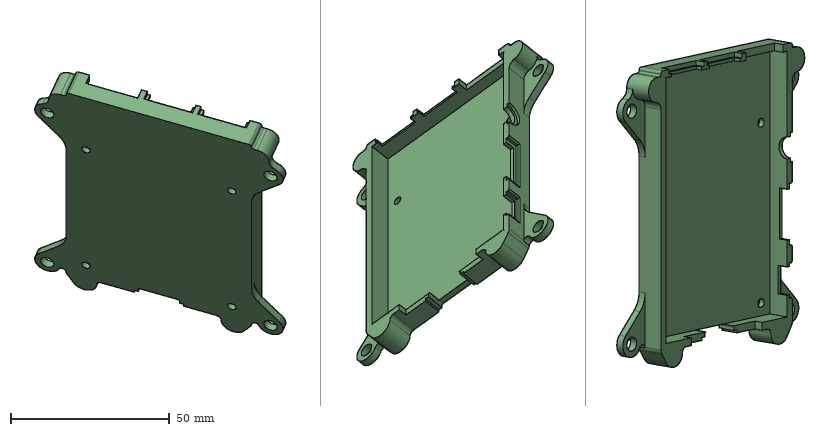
import cadquery as cq
import math


tray_height = 9.3
half_width = 31.2
top_z = 50.35
base_z = -40.15
total_length = 96.25
wall = 2.5
floor_thickness = 2.0
top_corner_radius = 0.95

shoulder_radius = 4.0
shoulder_left = 37.05
shoulder_top = 48.6
shoulder_x = shoulder_left - shoulder_radius
shoulder_z = shoulder_top - shoulder_radius
shoulder_top_fillet = 0.7
shoulder_side_fillet = 2.6

lobe_radius = 4.2
lobe_x = 25.1
lobe_z = top_z - total_length + lobe_radius
lobe_fillet = 1.6
slant_fillet = 2.4

lug_offset = 37.5
lug_radius = 4.245
lug_thickness = 2.6
lug_hole_diameter = 4.5
lug_side_fillet = 8.0
lug_shoulder_fillet = 3.3
lug_corner_radius = 1.25
lug_overlap = 2.0
lug_strip_length = 5.0

board_hole_diameter = 2.8
board_hole_x = 24.5
board_hole_pitch_z = 58.0
board_hole_top_z = 24.5

recess_half_width = 8.3
recess_step_depth = 0.95
recess_inner_half_width = 6.9
recess_corner_radius = 0.5

base_opening_half_width = 16.8
base_opening_bottom = 6.27

network_left = -26.6
network_right = -9.2
network_bottom = 5.75
usb_centers = (0.94, 19.05)
usb_width = 16.4
usb_bottom = 6.1
usb_lip = 1.0
usb_recess_depth = 1.5

hdmi = (-4.8, 20.9, 16.4, 6.05)
power = (-26.15, 12.2, 9.1, 5.5)
connector_recess_bottom = 4.3
connector_recess_depth = 1.3
connector_bevel = 0.5
audio_z = 16.7
audio_recess_diameter = 9.5
audio_diameter = 7.0
audio_recess_depth = 0.9


def prism(points, height):
    return cq.Workplane("XZ").polyline(points).close().extrude(-height)


def disc(x, z, radius, height):
    return cq.Workplane("XZ").center(x, z).circle(radius).extrude(-height)


def block(x_range, y_range, z_range):
    size = [high - low for low, high in (x_range, y_range, z_range)]
    corner = (x_range[0], y_range[0], z_range[0])
    return cq.Workplane("XY").box(*size, centered=False).translate(corner)


def fillet_edge(solid, x, z, height, radius):
    """Round the edge along Y that passes through (x, z)."""
    nearest = cq.selectors.NearestToPointSelector((x, height / 2, z))
    return solid.edges("|Y").edges(nearest).fillet(radius)


def with_mirror(solid):
    return solid.union(solid.mirror("YZ"))


def lobe_tangent_point():
    """Point where the slanted line touches the left lobe."""
    dx = lobe_x - half_width
    dz = base_z - lobe_z
    distance = math.hypot(dx, dz)
    angle = math.atan2(dz, dx) + math.acos(lobe_radius / distance)
    return (-lobe_x + lobe_radius * math.cos(angle), lobe_z + lobe_radius * math.sin(angle))


def left_half_body():
    body = prism(
        [
            (0, top_z),
            (-half_width, top_z),
            (-half_width, base_z),
            lobe_tangent_point(),
            (-lobe_x, lobe_z),
            (-lobe_x, base_z),
            (0, base_z),
        ],
        tray_height,
    )
    body = body.union(disc(-lobe_x, lobe_z, lobe_radius, tray_height))
    body = body.union(disc(-shoulder_x, shoulder_z, shoulder_radius, tray_height))
    body = body.union(
        block((-shoulder_x, -half_width + wall), (0, tray_height), (shoulder_z, shoulder_top))
    )
    shoulder_drop = math.sqrt(shoulder_radius**2 - (shoulder_x - half_width) ** 2)
    lobe_reach = math.sqrt(lobe_radius**2 - (base_z - lobe_z) ** 2)
    rounded_edges = (
        (-half_width, top_z, top_corner_radius),
        (-half_width, shoulder_top, shoulder_top_fillet),
        (-half_width, shoulder_z - shoulder_drop, shoulder_side_fillet),
        (-half_width, base_z, slant_fillet),
        (-lobe_x + lobe_reach, base_z, lobe_fillet),
    )
    for x, z, radius in rounded_edges:
        body = fillet_edge(body, x, z, tray_height, radius)
    return body


def lug_outline(direction):
    """Points from the centre of a left lug along its 45 degree edge and down the body side.

    The direction is +1 when the edge leaves the upper side of the lug, -1 for the lower side.
    """
    diagonal = lug_radius * math.sqrt(0.5)
    lug_z = -direction * lug_offset
    touch = (-lug_offset - diagonal, lug_z + direction * diagonal)
    corner_z = touch[1] + direction * (-half_width - touch[0])
    strip_z = corner_z + direction * lug_strip_length
    inner_x = -half_width + lug_overlap
    points = [
        (-lug_offset, lug_z),
        touch,
        (-half_width, corner_z),
        (-half_width, strip_z),
        (inner_x, strip_z),
    ]
    return points, corner_z


def upper_lug():
    points, corner_z = lug_outline(-1)
    points += [
        (-half_width + lug_overlap, shoulder_z),
        (-shoulder_left, shoulder_z),
        (-shoulder_left, lug_offset),
    ]
    lug = prism(points, lug_thickness)
    lug = lug.union(disc(-lug_offset, lug_offset, lug_radius, lug_thickness))
    rise = math.sqrt(lug_radius**2 - (lug_offset - shoulder_left) ** 2)
    lug = fillet_edge(lug, -shoulder_left, lug_offset + rise, lug_thickness, lug_shoulder_fillet)
    return fillet_edge(lug, -half_width, corner_z, lug_thickness, lug_side_fillet)


def lower_lug():
    points, corner_z = lug_outline(1)
    corner_x = -half_width - lug_corner_radius
    reach = lug_radius + lug_corner_radius
    round_z = -lug_offset - math.sqrt(reach**2 - (corner_x + lug_offset) ** 2)
    points += [(-half_width + lug_overlap, round_z), (corner_x, round_z)]
    lug = prism(points, lug_thickness)
    lug = lug.cut(disc(corner_x, round_z, lug_corner_radius, lug_thickness))
    lug = lug.union(disc(-lug_offset, -lug_offset, lug_radius, lug_thickness))
    return fillet_edge(lug, -half_width, corner_z, lug_thickness, lug_side_fillet)


def cavity():
    side = half_width - wall
    return block((-side, side), (floor_thickness, tray_height), (base_z + wall, top_z - wall))


def base_recess():
    step_z = base_z + recess_step_depth
    recess = block(
        (-recess_inner_half_width, recess_inner_half_width), (0, tray_height), (base_z, base_z + wall)
    )
    recess = recess.edges("|Y and >Z").fillet(recess_corner_radius)
    step = block((-recess_half_width, recess_half_width), (0, tray_height), (base_z, step_z))
    return recess.union(step)


def base_opening():
    return block(
        (-base_opening_half_width, base_opening_half_width),
        (base_opening_bottom, tray_height),
        (base_z, base_z + wall),
    )


def network_opening():
    return block((network_left, network_right), (network_bottom, tray_height), (top_z - wall, top_z))


def usb_opening(center_x):
    half_recess = usb_width / 2
    half_opening = half_recess - usb_lip
    recess = block(
        (center_x - half_recess, center_x + half_recess),
        (usb_bottom, tray_height),
        (top_z - usb_recess_depth, top_z),
    )
    opening = block(
        (center_x - half_opening, center_x + half_opening),
        (usb_bottom + usb_lip, tray_height),
        (top_z - wall, top_z),
    )
    return recess.union(opening)


def connector_opening(center_z, recess_width, opening_width, opening_bottom):
    """Opening in the left wall inside a wider recess with bevelled rims."""
    half_recess = recess_width / 2
    rim_height = 2 * (tray_height - connector_recess_bottom)
    rim = cq.Workplane("YZ", origin=(-half_width, tray_height, center_z))
    bevel = (
        rim.rect(rim_height, recess_width)
        .workplane(offset=connector_bevel)
        .rect(rim_height - 2 * connector_bevel, recess_width - 2 * connector_bevel)
        .loft(ruled=True)
    )
    inner_half = half_recess - connector_bevel
    recess = block(
        (-half_width, -half_width + connector_recess_depth),
        (connector_recess_bottom + connector_bevel, tray_height),
        (center_z - inner_half, center_z + inner_half),
    )
    opening = block(
        (-half_width, -half_width + wall),
        (opening_bottom, tray_height),
        (center_z - opening_width / 2, center_z + opening_width / 2),
    )
    return bevel.union(recess).union(opening)


def audio_opening():
    face = cq.Workplane("YZ", origin=(-half_width, tray_height, audio_z))
    recess = face.circle(audio_recess_diameter / 2).extrude(audio_recess_depth)
    return recess.union(face.circle(audio_diameter / 2).extrude(wall))


def screw_holes():
    lug_points = [(x, z) for x in (-lug_offset, lug_offset) for z in (-lug_offset, lug_offset)]
    board_rows = (board_hole_top_z, board_hole_top_z - board_hole_pitch_z)
    board_points = [(x, z) for x in (-board_hole_x, board_hole_x) for z in board_rows]
    plane = cq.Workplane("XZ")
    lug_holes = plane.pushPoints(lug_points).circle(lug_hole_diameter / 2).extrude(-lug_thickness)
    board_holes = plane.pushPoints(board_points).circle(board_hole_diameter / 2).extrude(-tray_height)
    return lug_holes.union(board_holes)


tray = with_mirror(left_half_body().union(upper_lug()).union(lower_lug()))
tray = tray.cut(cavity()).cut(base_recess()).cut(base_opening()).cut(network_opening())
for usb_center in usb_centers:
    tray = tray.cut(usb_opening(usb_center))
for connector in (hdmi, power):
    tray = tray.cut(connector_opening(*connector))
result = tray.cut(audio_opening()).cut(screw_holes())